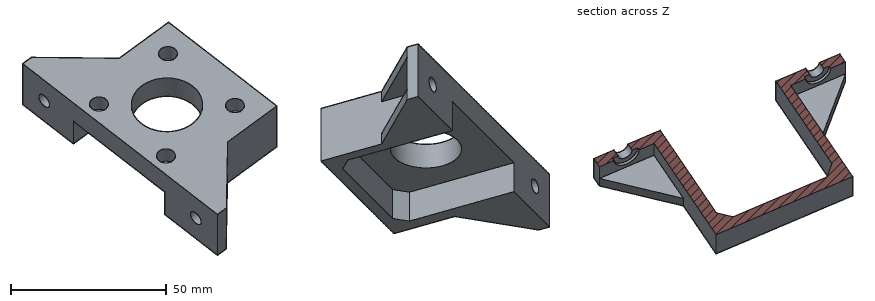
import cadquery as cq

length = 90.2
height = 20.0
wall = 4.0
motor_width = 42.2
motor_corner = 4.0
motor_shift = -0.45
top_plate = 9.0
bore_diameter = 23.0
screw_spacing = 31.0
screw_diameter = 6.0
screw_depth = 6.0
mount_diameter = 5.0
mount_seat_diameter = 9.0
mount_seat_depth = 1.0
mount_end_distance = 10.0

housing_width = motor_width + 2 * wall
depth = motor_width + wall
wing_reach = (length - housing_width) / 2
wing_back = wall + wing_reach
motor_center_y = motor_width / 2
pocket_depth = height - top_plate


def make_body():
    """Housing block with a tapered wing on each side."""
    half_length = length / 2
    half_housing = housing_width / 2
    outline = [
        (-half_length, 0),
        (half_length, 0),
        (half_length, wall),
        (half_housing, wing_back),
        (half_housing, depth),
        (-half_housing, depth),
        (-half_housing, wing_back),
        (-half_length, wall),
    ]
    return cq.Workplane("XY").polyline(outline).close().extrude(height)


def make_wing_recess(side):
    """Space between the upper and lower gussets of one wing (side is -1 or 1)."""
    return (
        cq.Workplane("XY")
        .box(wing_reach, wing_reach, height - 2 * wall)
        .translate((side * (housing_width + wing_reach) / 2, wall + wing_reach / 2, height / 2))
    )


def make_motor_pocket():
    """Motor pocket, open below and in front, with chamfered rear corners."""
    return (
        cq.Workplane("XY")
        .box(motor_width, motor_width, pocket_depth)
        .edges("|Z and >Y")
        .chamfer(motor_corner)
        .translate((motor_shift, motor_center_y, pocket_depth / 2))
    )


def make_bore():
    """Round opening through the top plate."""
    return cq.Workplane("XY").center(0, motor_center_y).circle(bore_diameter / 2).extrude(height)


def make_screw_holes():
    """Four blind holes in the top face, around the bore."""
    return (
        cq.Workplane("XY", origin=(0, motor_center_y, height))
        .rect(screw_spacing, screw_spacing, forConstruction=True)
        .vertices()
        .circle(screw_diameter / 2)
        .extrude(-screw_depth)
    )


def make_mount_holes():
    """Two holes through the flange, one in each wing, counterbored from behind."""
    mount_x = length / 2 - mount_end_distance
    rear_face = cq.Workplane("XZ", origin=(0, wall, height / 2)).pushPoints([(-mount_x, 0), (mount_x, 0)])
    holes = rear_face.circle(mount_diameter / 2).extrude(wall)
    seats = rear_face.circle(mount_seat_diameter / 2).extrude(mount_seat_depth)
    return holes.union(seats)


result = make_body()
for side in (-1, 1):
    result = result.cut(make_wing_recess(side))
result = (
    result.cut(make_motor_pocket())
    .cut(make_bore())
    .cut(make_screw_holes())
    .cut(make_mount_holes())
)